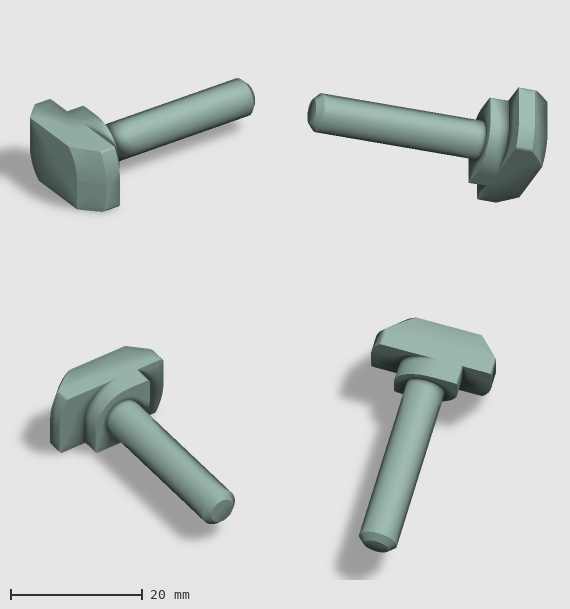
import cadquery as cq

total_length = 35.7
head_length = 19.0
head_width = 10.0
head_height = 5.7
head_bevel = 3.15
neck_height = 3.0
neck_round = 6.07
corner_round = 0.55
shank_radius = 3.0
tip_chamfer = 1.0

half_length = head_length / 2
half_width = head_width / 2
neck_end = head_height + neck_height


def stop_quarters():
    """Square-ended upper left and lower right quarters, bevelled at the outer end."""
    profile = [
        (0, 0),
        (head_bevel - half_length, 0),
        (-half_length, head_bevel),
        (-half_length, head_height),
        (0, head_height),
    ]
    outline = cq.Workplane("XY").polyline(profile).close().extrude(half_width)
    quarter = outline.intersect(rounded_square(head_length, 0, head_height))
    return quarter.union(half_turn(quarter))


def half_turn(body):
    """Turn a body by 180 degrees about the bolt axis."""
    return body.rotate((0, 0, 0), (0, 1, 0), 180)


def rounded_square(length, start, height):
    """Block about the bolt axis with rounded upper left and lower right corners."""
    block = cq.Workplane("XZ", origin=(0, start, 0)).rect(length, head_width).extrude(-height)
    for side in ("<X", ">X"):
        end = ">Z" if side == "<X" else "<Z"
        block = block.faces(side).edges(end).fillet(corner_round)
    return block


def head():
    """Stop quarters joined to a bevelled disc that lets the head turn in its slot."""
    disc = cq.Workplane("XZ").circle(half_length).extrude(-head_height)
    slot = cq.Workplane("XY").box(head_length, head_height, head_width, centered=(True, False, True))
    trimmed_disc = disc.intersect(slot).edges("|Y").fillet(corner_round)
    bevelled_disc = disc.faces("<Y").chamfer(head_bevel)
    return trimmed_disc.intersect(bevelled_disc).union(stop_quarters())


def neck():
    """Block with two opposite corners widely rounded and two nearly sharp."""
    block = rounded_square(head_width, head_height, neck_height)
    block = block.faces("<X").edges("<Z").fillet(neck_round)
    return block.faces(">X").edges(">Z").fillet(neck_round)


def shank():
    """Round shank with a chamfered tip."""
    rod = cq.Workplane("XZ", origin=(0, neck_end, 0)).circle(shank_radius).extrude(neck_end - total_length)
    return rod.faces(">Y").chamfer(tip_chamfer)


result = head().union(neck()).union(shank())